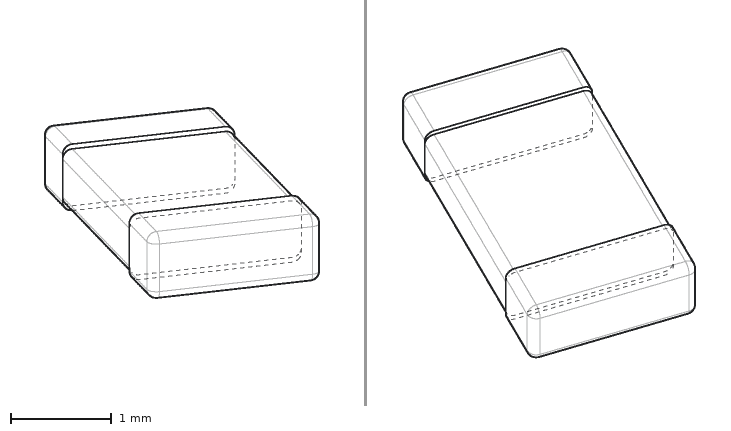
import cadquery as cq

length = 3.4
width = 1.8
terminal_height = 0.7

body_height = 0.6
terminal_length = 0.65
edge_radius = 0.1
body_length = length - 2 * terminal_length


def make_body():
    """Central block with its long edges rounded."""
    return cq.Workplane("XY").box(body_length, width, body_height).edges("|X").fillet(edge_radius)


def make_terminal(side):
    """End block, rounded on every edge except those of its inner face; side is -1 or +1."""
    center_x = side * (length - terminal_length) / 2
    inner_face = ">X" if side < 0 else "<X"
    return (
        cq.Workplane("XY")
        .box(terminal_length, width, terminal_height)
        .edges(f"not {inner_face}")
        .fillet(edge_radius)
        .translate((center_x, 0, 0))
    )


body = make_body()
terminals = [make_terminal(side) for side in (-1, 1)]

result = cq.Compound.makeCompound([body.val(), *(terminal.val() for terminal in terminals)])